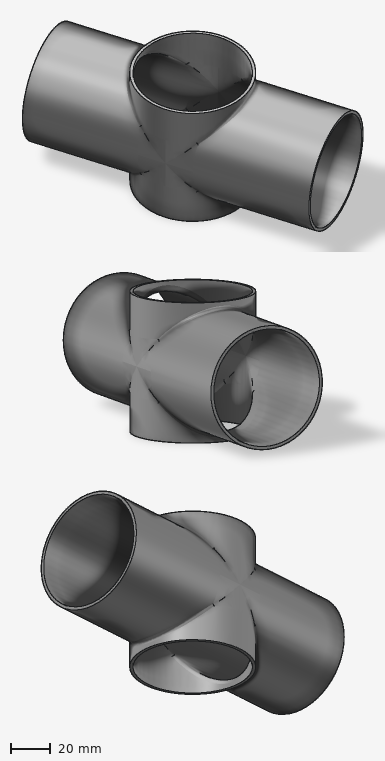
import cadquery as cq
import math

run_length = 160.0
branch_height = 72.0
outer_diameter = 63.5
bore_diameter = 60.2
seam_radius = 2.0
patch_reach = 16.3
patch_waist = 15.4
patch_bulge = 0.08
patch_depth = 8.0
edge_spans = 4
seam_tolerance = 0.02

outer_radius = outer_diameter / 2
bore_radius = bore_diameter / 2
wall = outer_radius - bore_radius

centre_curve_radius = outer_radius + seam_radius
fillet_centre = cq.Vector(
    patch_reach,
    math.sqrt(centre_curve_radius**2 - patch_reach**2),
    patch_reach,
)


def crossing_tubes(radius):
    """Two solid cylinders of equal radius crossing at the origin along X and Z."""
    run = cq.Workplane("YZ").circle(radius).extrude(run_length / 2, both=True)
    branch = cq.Workplane("XY").circle(radius).extrude(branch_height / 2, both=True)
    return run.union(branch)


def turned(shape, quarter):
    """The shape turned by a number of quarter turns about the Y axis."""
    return shape.rotate(cq.Vector(), cq.Vector(0, 1, 0), 90 * quarter)


def side_patch(radius, fillet_radius):
    """Pocket to clear on the +Y side, and the smooth-topped block that fills it."""
    contact = fillet_centre * (radius / centre_curve_radius)
    near, height, far = contact.x, contact.y, patch_reach
    base = height - patch_depth
    taper = (patch_reach - patch_waist) / (radius - height)

    def wall_shift(y):
        """Outward shift of the leaning pocket walls from their place at the fillet ends."""
        return taper * (height - y)

    def octagon(y):
        """Section of the pocket at height y."""
        shift = wall_shift(y)
        corners = []
        for quarter in range(4):
            for x in (-near - shift, near + shift):
                corners.append(turned(cq.Vertex.makeVertex(x, y, far + shift), quarter).Center())
        return cq.Wire.makePolygon(corners, close=True)

    pocket = cq.Solid.makeLoft([octagon(base), octagon(radius + patch_depth)], True)

    def on_tube(x):
        """Point of the branch surface in the leaning pocket wall."""
        y = math.sqrt(radius**2 - x**2)
        return cq.Vector(x, y, far + wall_shift(y))

    toward_seam = cq.Vector(near + far, 2 * height, near + far) - fillet_centre * 2
    seam_height = (fillet_centre + toward_seam.normalized() * fillet_radius).y
    seam_place = (near + far) / 2 + wall_shift(seam_height)
    seam_end = cq.Vector(seam_place, seam_height, seam_place)
    corner = on_tube(near)
    other_corner = cq.Vector(corner.z, corner.y, corner.x)
    apex = cq.Vector(0, radius + patch_bulge, 0)

    tube_edge = cq.Edge.makeSpline([on_tube(near * step / edge_spans) for step in range(edge_spans + 1)])
    whole_fillet = cq.Edge.makeThreePointArc(corner, seam_end, other_corner)
    quarter_way = whole_fillet.positionAt(0.25)
    fillet_edge = cq.Edge.makeThreePointArc(corner, quarter_way, seam_end)
    middle_line = cq.Edge.makeSpline(
        [apex, on_tube(0)], tangents=[cq.Vector(0, 0, 1), cq.Vector(0, 0, 1)]
    )
    seam_chord = seam_end - apex
    seam_line = cq.Edge.makeSpline(
        [apex, seam_end],
        tangents=[cq.Vector(1, 0, 1), cq.Vector(seam_chord.x, 2 * seam_chord.y, seam_chord.z)],
    )
    eighth = cq.Face.makeNSidedSurface([middle_line, tube_edge, fillet_edge, seam_line], [])

    tops = []
    for quarter in range(4):
        tops.append(turned(eighth, quarter))
        tops.append(turned(eighth.mirror("YZ"), quarter))
    block = min(pocket.split(*tops).Solids(), key=lambda piece: piece.Center().y)
    return cq.Workplane(pocket), cq.Workplane(block)


def blended_crossing(radius, fillet_radius):
    """Crossing cylinders with rounded seams and a smooth patch on both Y sides."""
    tubes = crossing_tubes(radius)
    fillet_end = fillet_centre.y * radius / centre_curve_radius
    slab = cq.Workplane("XY").box(run_length, 2 * fillet_end, branch_height)
    seams = tubes.intersect(slab).edges().filter(
        lambda edge: math.isclose(abs(edge.Center().x), abs(edge.Center().z), abs_tol=seam_tolerance)
    )
    body = tubes.union(seams.fillet(fillet_radius))
    pocket, block = side_patch(radius, fillet_radius)
    body = body.cut(pocket).union(block)
    return body.cut(pocket.mirror("XZ")).union(block.mirror("XZ"))


outside = blended_crossing(outer_radius, seam_radius)
inside = blended_crossing(bore_radius, seam_radius + wall)
result = outside.cut(inside)